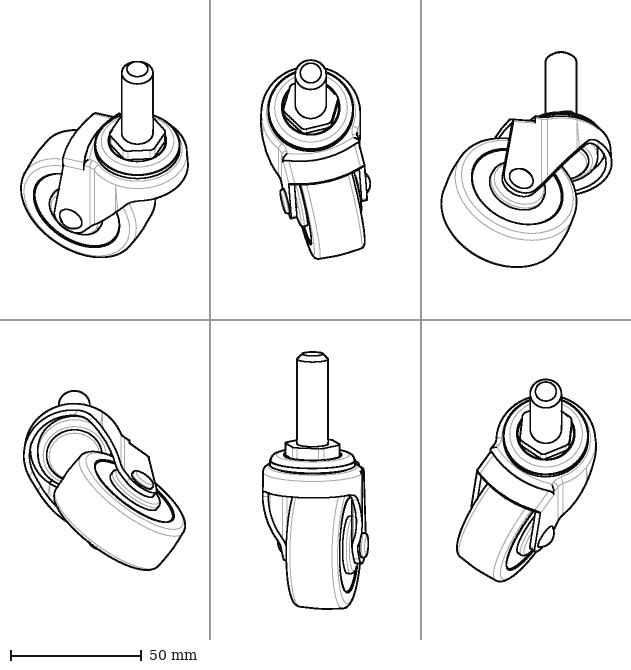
import cadquery as cq
import math

OVERSIZE = 60.0

wheel_radius = 25.0
wheel_trail = 21.0
wheel_half_width = 10.0
tread_edge_radius = 24.3
tread_fillet = 2.0
disc_recess_radius = 18.4
disc_recess_depth = 0.4
disc_wall_taper = 45.0
hub_radius = 11.0
hub_half_width = 12.0
hub_fillet = 1.0
axle_x = -wheel_trail
axle_z = wheel_radius

axle_radius = 3.2
rivet_radius = 4.75
dome_height = 2.9
flat_head_height = 1.6
flat_head_fillet = 1.0

sheet = 2.2
crown_radius = 19.0
crown_top = 59.1
crown_fillet = 2.0
waist_fillet = 4.0
fork_half_width = 15.0
leg_end_radius = 7.0
leg_front_tilt = 8.0
leg_rear_slope = 53.6
skirt_bottom = 50.4
skirt_rear_bottom = 50.7
skirt_tilt = 4.0
throat_radius = 7.0
step_center_x = 18.0
step_radius = 36.6
plate_reach = 8.6
plate_root_z = 55.95
plate_slope = 10.0
plate_fillet = 2.0
plate_overlap = 1.0
dish_radius = 14.0
dish_bottom = 51.6
dish_fillet = 2.0

cap_bottom = 59.7
cap_rim_top = 61.5
cap_top = 63.7
cap_rim_radius = 16.3
cap_dome_radius = 16.05
cap_dome_fillet = 2.15
cap_neck_radius = 14.8
cap_bore_radius = 10.7
cap_bore_chamfer = 0.4

stem_radius = 6.0
stem_top = 103.0
stem_chamfer = 2.0
hex_top = 68.0
hex_across_flats = 19.0
hex_corner_fillet = 2.2
collar_top = cap_top - cap_bore_chamfer
tail_radius = 10.6
tail_thickness = 1.0
tail_fillet = 0.9

inner_half_width = fork_half_width - sheet
inner_crown_radius = crown_radius - sheet
inner_crown_top = crown_top - sheet
fillet_start_z = crown_top - crown_fillet


def cylinder(radius, bottom, top):
    """Cylinder about the stem axis between two heights."""
    return cq.Workplane("XY", origin=(0, 0, bottom)).circle(radius).extrude(top - bottom)


def axle_cylinder(radius, y_start, y_end):
    """Cylinder about the axle between two Y positions."""
    plane = cq.Workplane("XZ", origin=(axle_x, y_start, axle_z))
    return plane.circle(radius).extrude(y_start - y_end)


def fork_plan(radius, half_width, front_radius, waist):
    """Closed plan outline: round crown, concave waists, parallel sides and an arched front."""
    waist_y = half_width + waist
    waist_x = -math.sqrt((radius + waist) ** 2 - waist_y ** 2)
    blend = radius / (radius + waist)
    crown_x = waist_x * blend
    crown_y = waist_y * blend
    end_angle = math.atan2(-waist_y, -waist_x)
    middle_angle = (end_angle - math.pi / 2) / 2
    middle_x = waist_x + waist * math.cos(middle_angle)
    middle_y = waist_y + waist * math.sin(middle_angle)
    front_x = step_center_x - math.sqrt(front_radius ** 2 - half_width ** 2)
    return (
        cq.Workplane("XY")
        .moveTo(crown_x, crown_y)
        .threePointArc((radius, 0), (crown_x, -crown_y))
        .threePointArc((middle_x, -middle_y), (waist_x, -half_width))
        .lineTo(front_x, -half_width)
        .threePointArc((step_center_x - front_radius, 0), (front_x, half_width))
        .lineTo(waist_x, half_width)
        .threePointArc((middle_x, middle_y), (crown_x, crown_y))
        .close()
    )


def flared_rear(radius):
    """Rear half of the skirt, leaning rearward as it goes down."""
    run = fillet_start_z * math.tan(math.radians(skirt_tilt))
    outline = (
        cq.Workplane("XY", origin=(0, 0, fillet_start_z))
        .moveTo(-run, -radius)
        .lineTo(0, -radius)
        .threePointArc((radius, 0), (0, radius))
        .lineTo(-run, radius)
        .close()
    )
    lean = cq.Vector(run, 0, -fillet_start_z)
    skirt = cq.Solid.extrudeLinear(outline.val(), [], lean)
    rear_half = cq.Workplane("XY").box(OVERSIZE, OVERSIZE, fillet_start_z, centered=(False, True, False))
    return rear_half.intersect(cq.Workplane(skirt))


def fork_side():
    """Side silhouette of crown, skirt and legs, as a solid across the full width."""
    front = math.radians(leg_front_tilt)
    rear = math.radians(leg_rear_slope)
    front_x = axle_x - leg_end_radius * math.cos(front)
    front_z = axle_z + leg_end_radius * math.sin(front)
    rear_x = axle_x + leg_end_radius * math.sin(rear)
    rear_z = axle_z - leg_end_radius * math.cos(rear)
    throat_x = rear_x + (skirt_bottom - rear_z) / math.tan(rear)
    skirt_end_x = crown_radius + crown_fillet
    solid = (
        cq.Workplane("XZ")
        .moveTo(front_x + (crown_top - front_z) * math.tan(front), crown_top)
        .lineTo(front_x, front_z)
        .threePointArc((axle_x, axle_z - leg_end_radius), (rear_x, rear_z))
        .lineTo(throat_x, skirt_bottom)
        .lineTo(skirt_end_x, skirt_rear_bottom)
        .lineTo(skirt_end_x, crown_top)
        .close()
        .extrude(OVERSIZE / 2, both=True)
    )
    throat = cq.selectors.NearestToPointSelector((throat_x, 0, skirt_bottom))
    return solid.edges("|Y").edges(throat).fillet(throat_radius)


def below_plate(drop, half_width):
    """Block in front of the stem, bounded above by a plane parallel to the plate top."""
    rise = math.tan(math.radians(plate_slope))
    step_x = step_center_x - step_radius
    offset = drop / math.cos(math.radians(plate_slope))
    front_x = -OVERSIZE
    back_x = -inner_half_width

    def top_z(x):
        return plate_root_z - offset + (x - step_x) * rise

    return (
        cq.Workplane("XZ")
        .polyline([(front_x, 0), (back_x, 0), (back_x, top_z(back_x)), (front_x, top_z(front_x))])
        .close()
        .extrude(half_width, both=True)
    )


def front_plate():
    """Sloping plate over the wheel with an arched free edge and rounded sides."""
    slope = math.radians(plate_slope)
    length = plate_reach / math.cos(slope)
    edge_radius = step_radius + plate_reach
    root_x = step_center_x - step_radius
    plane = cq.Plane(
        origin=(root_x, 0, plate_root_z),
        xDir=(math.cos(slope), 0, math.sin(slope)),
        normal=(-math.sin(slope), 0, math.cos(slope)),
    )
    edge_sag = edge_radius - math.sqrt(edge_radius ** 2 - fork_half_width ** 2)
    step_sag = step_radius - math.sqrt(step_radius ** 2 - fork_half_width ** 2)
    back = step_sag + plate_overlap
    plate = (
        cq.Workplane(plane)
        .moveTo(back, -fork_half_width)
        .lineTo(edge_sag - length, -fork_half_width)
        .threePointArc((-length, 0), (edge_sag - length, fork_half_width))
        .lineTo(back, fork_half_width)
        .close()
        .extrude(-sheet)
    )
    for side in (-1, 1):
        edge_middle = plane.toWorldCoords(((back + edge_sag - length) / 2, side * fork_half_width, 0))
        top_edge = cq.selectors.NearestToPointSelector(edge_middle.toTuple())
        plate = plate.edges(top_edge).fillet(plate_fillet)
    return plate


def make_fork():
    """Bent sheet fork with a pressed dish under the crown."""
    crown = fork_plan(crown_radius, fork_half_width, step_radius, waist_fillet).extrude(crown_top)
    crown = crown.faces(">Z").edges().fillet(crown_fillet)
    fork = crown.union(flared_rear(crown_radius)).union(below_plate(sheet, fork_half_width))
    fork = fork.intersect(fork_side()).union(front_plate())

    cavity = fork_plan(
        inner_crown_radius, inner_half_width, step_radius - sheet, waist_fillet + sheet
    ).extrude(inner_crown_top)
    fork = fork.cut(cavity).cut(flared_rear(inner_crown_radius)).cut(below_plate(sheet, inner_half_width))

    dish = cylinder(dish_radius, dish_bottom, inner_crown_top).faces("<Z").edges().fillet(dish_fillet)
    fork = fork.union(dish).cut(cylinder(stem_radius, 0, crown_top))
    return fork.cut(axle_cylinder(axle_radius, -fork_half_width, fork_half_width))


def make_wheel():
    """Crowned wheel with shallow disc recesses and a protruding hub."""
    wheel = (
        cq.Workplane("XY")
        .moveTo(0, -wheel_half_width)
        .lineTo(tread_edge_radius, -wheel_half_width)
        .threePointArc((wheel_radius, 0), (tread_edge_radius, wheel_half_width))
        .lineTo(0, wheel_half_width)
        .close()
        .revolve(360, (0, 0, 0), (0, 1, 0))
        .faces("<Y or >Y")
        .edges()
        .fillet(tread_fillet)
    )
    wheel = wheel.translate((axle_x, 0, axle_z))
    for side in (-1, 1):
        plane = cq.Plane((axle_x, side * wheel_half_width, axle_z), (1, 0, 0), (0, -side, 0))
        recess = cq.Workplane(plane).circle(disc_recess_radius)
        recess = recess.extrude(disc_recess_depth, taper=disc_wall_taper)
        wheel = wheel.cut(recess)
    hub = axle_cylinder(hub_radius, -hub_half_width, hub_half_width)
    wheel = wheel.union(hub.faces("<Y or >Y").edges().fillet(hub_fillet))
    return wheel.cut(axle_cylinder(axle_radius, -hub_half_width, hub_half_width))


def make_axle():
    """Rivet through the fork legs and hub: domed head on -Y, flat head on +Y."""
    shaft = axle_cylinder(axle_radius, -fork_half_width, fork_half_width)
    dome_radius = (rivet_radius ** 2 + dome_height ** 2) / (2 * dome_height)
    dome_center_y = dome_radius - fork_half_width - dome_height
    dome = cq.Workplane("XY").sphere(dome_radius).translate((axle_x, dome_center_y, axle_z))
    dome = dome.intersect(axle_cylinder(rivet_radius, -fork_half_width - dome_height, -fork_half_width))
    flat_head = axle_cylinder(rivet_radius, fork_half_width, fork_half_width + flat_head_height)
    flat_head = flat_head.faces(">Y").edges().fillet(flat_head_fillet)
    return shaft.union(dome).union(flat_head)


def make_cap():
    """Round cap resting on the fork crown, bored for the stem collar."""
    dome = cylinder(cap_dome_radius, cap_rim_top, cap_top).faces(">Z").edges().fillet(cap_dome_fillet)
    rim = cylinder(cap_rim_radius, cap_bottom, cap_rim_top)
    neck = cylinder(cap_neck_radius, crown_top, cap_bottom)
    cap = neck.union(rim).union(dome).cut(cylinder(cap_bore_radius, crown_top, cap_top))
    return cap.faces(">Z").edges(cq.selectors.RadiusNthSelector(0)).chamfer(cap_bore_chamfer)


def make_stem():
    """Stem with hexagon and collar, held by a tail flange under the dish."""
    shaft = cylinder(stem_radius, dish_bottom, stem_top).faces(">Z").edges().chamfer(stem_chamfer)
    collar = cylinder(cap_bore_radius, crown_top, collar_top)
    hexagon = (
        cq.Workplane("XY", origin=(0, 0, collar_top))
        .polygon(6, hex_across_flats, circumscribed=True)
        .extrude(hex_top - collar_top)
        .edges("|Z")
        .fillet(hex_corner_fillet)
    )
    tail = cylinder(tail_radius, dish_bottom - tail_thickness, dish_bottom)
    tail = tail.faces("<Z").edges().fillet(tail_fillet)
    return shaft.union(collar).union(hexagon).union(tail)


fork = make_fork()
wheel = make_wheel()
axle = make_axle()
cap = make_cap()
stem = make_stem()

result = cq.Compound.makeCompound([fork.val(), wheel.val(), axle.val(), cap.val(), stem.val()])